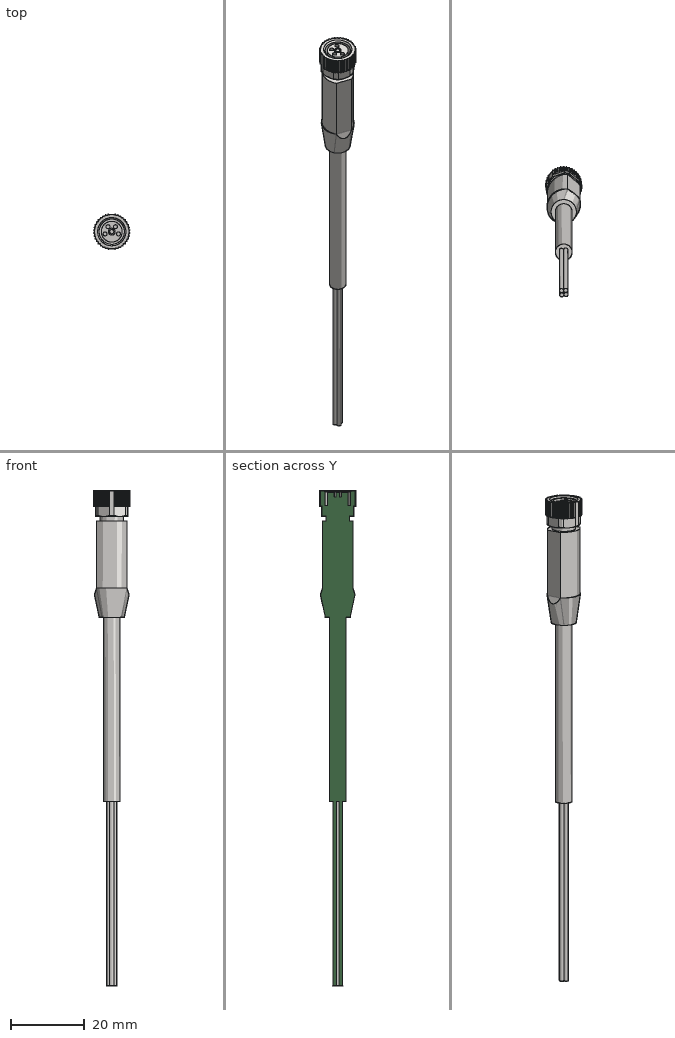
import cadquery as cq
import math

total_length = 134.4
strip_length = 50.0
cable_length = 50.0
grip_top = 107.9
body_top = 126.2
nut_bottom = 127.4
knurl_bottom = 130.1

cable_diameter = 4.6
wire_diameter = 1.15
wire_count = 4
wire_circle_radius = 0.83

body_half_width = 4.2
body_half_depth = 4.2
body_flat_width = 4.5
body_corner_y = body_flat_width / 2

relief_half_width = 5.1
relief_half_depth = 4.5
relief_end_radius = 6.9 / 2
ledge_slope = 0.3
ledge_reach = 1.3

neck_diameter = 6.5
nut_diameter = 9.4
nut_across_flats = 8.7
nut_chamfer = 0.3
knurl_width = 9.8
teeth_per_side = 18
plain_half_angle = 11
tooth_half_width = 0.38
tooth_embed = 0.1

bore_diameter = 6.9
bore_depth = 4.0
insert_recess = 0.4
bore_chamfer = 0.4
insert_diameter = 5.6
contact_diameter = 1.1
contact_depth = 2.7
upper_contact_spacing = 2.0
upper_contact_y = 1.3
lower_contact_spacing = 3.6
lower_contact_y = -0.6
center_recess_diameter = 1.9
center_recess_depth = 1.3
center_pin_diameter = 1.15

cable_bottom = strip_length
relief_bottom = cable_bottom + cable_length
insert_top = total_length - insert_recess
tooth_pitch = (180 - 2 * plain_half_angle) / (teeth_per_side - 1)
knurl_tip_radius = knurl_width / 2 / math.cos(math.radians(tooth_pitch / 2))
tooth_root_radius = nut_diameter / 2 - tooth_embed
joint_overlap = 0.7


def cylinder(diameter, bottom, top):
    return cq.Workplane("XY").workplane(offset=bottom).circle(diameter / 2).extrude(top - bottom)


def four_sided_outline(plane, corner_x, corner_y, side_x, front_y):
    """Four arcs that meet at (+-corner_x, +-corner_y)."""
    return (
        plane.moveTo(corner_x, -corner_y)
        .threePointArc((side_x, 0), (corner_x, corner_y))
        .threePointArc((0, front_y), (-corner_x, corner_y))
        .threePointArc((-side_x, 0), (-corner_x, -corner_y))
        .threePointArc((0, -front_y), (corner_x, -corner_y))
        .close()
    )


def make_cable():
    cable = cylinder(cable_diameter, cable_bottom, relief_bottom + joint_overlap)
    wires = (
        cq.Workplane("XY")
        .polarArray(wire_circle_radius, 0, 360, wire_count)
        .circle(wire_diameter / 2)
        .extrude(cable_bottom + joint_overlap)
    )
    return cable.union(wires)


def make_body():
    return (
        cq.Workplane("XY")
        .workplane(offset=grip_top)
        .moveTo(body_half_width, -body_corner_y)
        .lineTo(body_half_width, body_corner_y)
        .threePointArc((0, body_half_depth), (-body_half_width, body_corner_y))
        .lineTo(-body_half_width, -body_corner_y)
        .threePointArc((0, -body_half_depth), (body_half_width, -body_corner_y))
        .close()
        .extrude(body_top - grip_top)
    )


def make_strain_relief():
    end_corner_x = math.sqrt(relief_end_radius**2 - body_corner_y**2)
    start = cq.Workplane("XY").workplane(offset=relief_bottom)
    relief = four_sided_outline(start, end_corner_x, body_corner_y, relief_end_radius, relief_end_radius)
    relief = four_sided_outline(
        relief.workplane(offset=grip_top - relief_bottom),
        body_half_width,
        body_corner_y,
        relief_half_width,
        relief_half_depth,
    ).loft(ruled=True)
    for side in (-1, 1):
        ledge_cut = (
            cq.Workplane("XZ")
            .moveTo(side * body_half_width, grip_top)
            .lineTo(side * (body_half_width + ledge_reach), grip_top)
            .lineTo(side * (body_half_width + ledge_reach), grip_top - ledge_reach / ledge_slope)
            .close()
            .extrude(body_half_depth, both=True)
        )
        relief = relief.cut(ledge_cut)
    return relief


def make_nut():
    round_blank = cylinder(nut_diameter, nut_bottom, total_length)
    hexagon = (
        cq.Workplane("XY")
        .workplane(offset=nut_bottom)
        .transformed(rotate=(0, 0, 30))
        .polygon(6, nut_across_flats / math.cos(math.pi / 6))
        .extrude(knurl_bottom - nut_bottom)
    )
    lower = hexagon.intersect(round_blank.faces("<Z").chamfer(nut_chamfer))
    return lower.union(make_knurl())


def make_knurl():
    tooth = (
        cq.Workplane("XY")
        .workplane(offset=knurl_bottom)
        .moveTo(tooth_root_radius, -tooth_half_width)
        .lineTo(knurl_tip_radius, 0)
        .lineTo(tooth_root_radius, tooth_half_width)
        .close()
        .extrude(total_length - knurl_bottom)
    )
    ring = cylinder(nut_diameter, knurl_bottom, total_length)
    for side_start in (-90, 90):
        for number in range(teeth_per_side):
            angle = side_start + plain_half_angle + number * tooth_pitch
            ring = ring.union(tooth.rotate((0, 0, 0), (0, 0, 1), angle))
    return ring


def make_socket_insert():
    insert = cylinder(insert_diameter, total_length - bore_depth - joint_overlap, insert_top)
    contact_places = [
        (-upper_contact_spacing / 2, upper_contact_y),
        (upper_contact_spacing / 2, upper_contact_y),
        (-lower_contact_spacing / 2, lower_contact_y),
        (lower_contact_spacing / 2, lower_contact_y),
    ]
    contacts = (
        cq.Workplane("XY")
        .workplane(offset=insert_top - contact_depth)
        .pushPoints(contact_places)
        .circle(contact_diameter / 2)
        .extrude(contact_depth)
    )
    recess_floor = insert_top - center_recess_depth
    recess = cylinder(center_recess_diameter, recess_floor, insert_top)
    pin = cylinder(center_pin_diameter, recess_floor, insert_top)
    return insert.cut(contacts).cut(recess).union(pin)


def make_bore():
    bore = cylinder(bore_diameter, total_length - bore_depth, total_length)
    mouth = (
        cq.Workplane("XY")
        .workplane(offset=total_length)
        .circle(bore_diameter / 2 + bore_chamfer)
        .workplane(offset=-bore_chamfer)
        .circle(bore_diameter / 2)
        .loft()
    )
    return bore.union(mouth)


neck = cylinder(neck_diameter, body_top - joint_overlap, nut_bottom + joint_overlap)
nut = make_nut().cut(make_bore()).union(make_socket_insert())
connector = make_body().union(make_strain_relief()).union(neck).union(nut)
result = connector.union(make_cable())